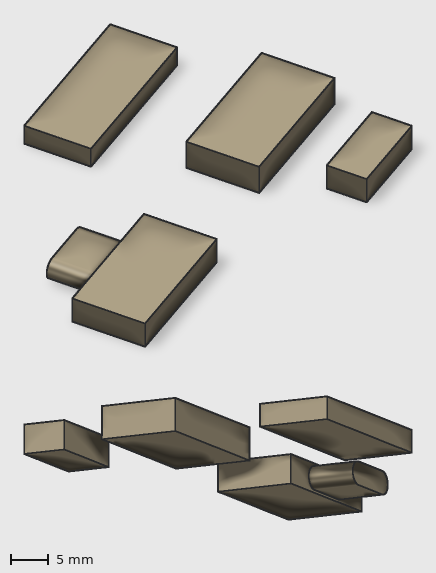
import cadquery as cq

OVERALL_X = 45.75
OVERALL_Y = 56.35

LEFT_LENGTH = 10.1
LEFT_WIDTH = 24.0
LEFT_HEIGHT = 3.1
LEFT_Y = 29.5

MIDDLE_LENGTH = 11.0
MIDDLE_WIDTH = 21.0
MIDDLE_HEIGHT = 4.5
MIDDLE_X = 21.3

RIGHT_LENGTH = 6.05
RIGHT_WIDTH = 12.6
RIGHT_HEIGHT = 4.0
RIGHT_Y = 40.4

BODY_LENGTH = 11.0
BODY_WIDTH = 20.0
BODY_HEIGHT = 4.0
BODY_X = 23.2

PLUG_LENGTH = 6.6
PLUG_WIDTH = 9.9
PLUG_HEIGHT = 3.2


def make_block(length, width, height, x, y):
    """Plain block with its lowest corner at (x, y, 0)."""
    return cq.Workplane("XY").box(length, width, height, centered=False).translate((x, y, 0))


def make_connector():
    """Connector body with a plug of slot-shaped section centred on its -X face."""
    body = make_block(BODY_LENGTH, BODY_WIDTH, BODY_HEIGHT, BODY_X, 0)
    plug = (
        cq.Workplane("YZ", origin=(BODY_X, BODY_WIDTH / 2, BODY_HEIGHT / 2))
        .slot2D(PLUG_WIDTH, PLUG_HEIGHT)
        .extrude(-PLUG_LENGTH)
    )
    return body.union(plug)


left_block = make_block(LEFT_LENGTH, LEFT_WIDTH, LEFT_HEIGHT, 0, LEFT_Y)
middle_block = make_block(
    MIDDLE_LENGTH, MIDDLE_WIDTH, MIDDLE_HEIGHT, MIDDLE_X, OVERALL_Y - MIDDLE_WIDTH
)
right_block = make_block(
    RIGHT_LENGTH, RIGHT_WIDTH, RIGHT_HEIGHT, OVERALL_X - RIGHT_LENGTH, RIGHT_Y
)
connector = make_connector()

result = cq.Compound.makeCompound(
    [left_block.val(), middle_block.val(), right_block.val(), connector.val()]
)